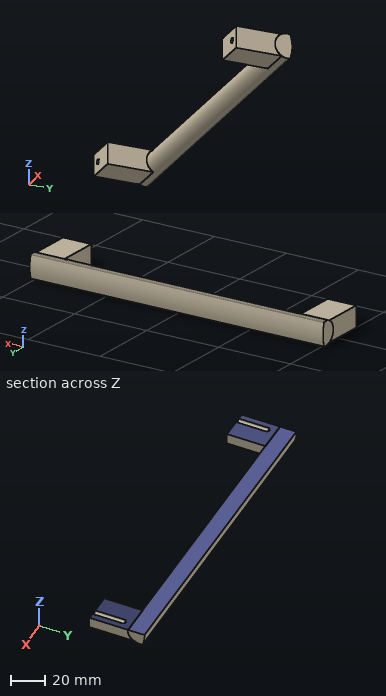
import cadquery as cq
import math

length = 204.0
depth = 36.0
back_y = depth / 2
mount_y = -depth / 2

bar_radius = 8.0
bar_axis_y = back_y - 3.0
crown_height = 1.2
corner_z = 7.8
corner_fillet = 0.5

leg_width = 20.0
leg_height = 14.0

hole_diameter = 3.0
hole_depth = 20.0
hole_end_inset = 6.0
drill_point_angle = 118.0


def make_bar():
    """Half-round bar with a crowned back and softened back corners."""
    corner_y = back_y - crown_height
    return (
        cq.Workplane("YZ", origin=(-length / 2, 0, 0))
        .moveTo(corner_y, -corner_z)
        .threePointArc((back_y, 0), (corner_y, corner_z))
        .lineTo(bar_axis_y, bar_radius)
        .threePointArc((bar_axis_y - bar_radius, 0), (bar_axis_y, -bar_radius))
        .close()
        .extrude(length)
        .edges("|X")
        .edges(">Y")
        .fillet(corner_fillet)
    )


def make_screw_hole(hole_x):
    """Drilled void entering the mounting face along +Y."""
    radius = hole_diameter / 2
    point_length = radius / math.tan(math.radians(drill_point_angle / 2))
    return (
        cq.Workplane("XY", origin=(hole_x, mount_y, 0))
        .polyline([(0, 0), (radius, 0), (radius, hole_depth), (0, hole_depth + point_length)])
        .close()
        .revolve(360, (0, 0), (0, 1))
    )


def make_leg(side, bar):
    """Leg at the -X end (side = -1) or the +X end (side = 1)."""
    leg_length = bar_axis_y - mount_y
    block = cq.Workplane("XY").box(leg_width, leg_length, leg_height).translate(
        (side * (length - leg_width) / 2, mount_y + leg_length / 2, 0)
    )
    screw_hole = make_screw_hole(side * (length / 2 - hole_end_inset))
    return block.cut(bar).cut(screw_hole).solids()


bar = make_bar()
legs = [make_leg(side, bar) for side in (-1, 1)]

result = cq.Compound.makeCompound([bar.val(), *[leg.val() for leg in legs]])